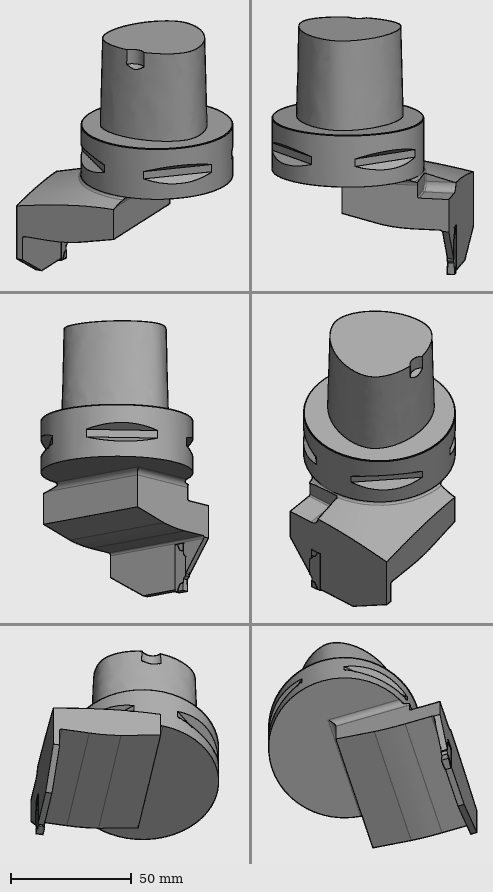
import cadquery as cq
import math


flange_radius = 31.5
flange_height = 22.1
flange_chamfer = 0.3

total_length = 103

shank_height = 38.0
shank_radius = 22.1
lobe_size = 1.39
taper_ratio = 20
outline_points = 48

notch_radius = 5.2
notch_center_y = -22.9
notch_depth = 6.3
notch_tip_height = 3.6

slot_count = 4
slot_first_angle = 45
slot_center_z = -11.7
slot_floor_distance = 27.8
slot_floor_height = 3.2
slot_mouth_height = 7.9

head_left = -45.0
head_right = 0.2
head_front = -40.0
head_back = 11.4
root_radius = 2.6
cone_angle = 15
cone_start_radius = 32.4
cone_start_z = -23.2
roof_blend_inset = 0.6
roof_blend_mid_z = -22.9
roof_margin = 1
head_bottom_z = -43.5
head_bottom_bend_left = -29.9
head_bottom_bend_right = -16.5
head_bottom_bend_z = -42.2
head_right_bottom_z = -38.3
blade_thickness = 2.7
blade_corner_radius = 1.0
blade_bottom_z = -64.1
blade_shoulder_z = -44.0
blade_front_z = -53.8
blade_bottom_front = -22.1
blade_slope_end_y = 0.0
blade_slope_end_z = -59.5

step_wall_x = -31.8
step_front = -3.4
step_floor_z = -30.2
step_side_radius = 3.7
step_wall_radius = 0.6

insert_top_z = -44.9
insert_bottom_z = shank_height - total_length
insert_back = 0.0
insert_front = -4.5
insert_waist_back = 1.1
insert_waist_top_z = -50.7
insert_waist_bottom_z = -58.9
insert_waist_chamfer = 1.1
insert_width = 3.0
insert_body_relief = 0.2
edge_length = 3.3
edge_depth = 3.1
edge_tip_depth = 1.6
edge_arc_depth = 2.3
edge_arc_length = 2.0
edge_shoulder_length = 3.0


def lobed_outline(radius):
    """Points of a constant-width curve with support radius + lobe_size * cos(3 * turn)."""
    points = []
    for index in range(outline_points):
        turn = 2 * math.pi * index / outline_points
        support = radius + lobe_size * math.cos(3 * turn)
        slope = -3 * lobe_size * math.sin(3 * turn)
        along = support * math.cos(turn) - slope * math.sin(turn)
        across = support * math.sin(turn) + slope * math.cos(turn)
        points.append((-across, along))
    return points


def make_shank():
    tip_radius = shank_radius - shank_height / taper_ratio / 2
    shank = (
        cq.Workplane("XY")
        .spline(lobed_outline(shank_radius), periodic=True).close()
        .workplane(offset=shank_height)
        .spline(lobed_outline(tip_radius), periodic=True).close()
        .loft(combine=True)
    )
    notch_floor_z = shank_height - notch_depth
    notch = (
        cq.Workplane("XZ")
        .moveTo(0, notch_floor_z - notch_tip_height)
        .lineTo(notch_radius, notch_floor_z)
        .lineTo(notch_radius, shank_height)
        .lineTo(0, shank_height)
        .close()
        .revolve(360, (0, 0), (0, 1))
        .translate((0, notch_center_y, 0))
    )
    return shank.cut(notch)


def make_flange():
    flange = (
        cq.Workplane("XY").circle(flange_radius).extrude(-flange_height)
        .faces(">Z").edges().chamfer(flange_chamfer)
    )
    floor_half = slot_floor_height / 2
    mouth_half = slot_mouth_height / 2
    slot = (
        cq.Workplane("XZ")
        .moveTo(slot_floor_distance, slot_center_z - floor_half)
        .lineTo(flange_radius, slot_center_z - mouth_half)
        .lineTo(flange_radius, slot_center_z + mouth_half)
        .lineTo(slot_floor_distance, slot_center_z + floor_half)
        .close()
        .extrude(flange_radius, both=True)
    )
    for index in range(slot_count):
        angle = slot_first_angle + index * 360 / slot_count
        flange = flange.cut(slot.rotate((0, 0, 0), (0, 0, 1), angle))
    return flange


def side_profile():
    """Head seen along Y: blade, curved underside and the blend at the right."""
    blade_right = head_left + blade_thickness
    return (
        cq.Workplane("XZ")
        .moveTo(head_left, -flange_height)
        .lineTo(head_left, blade_bottom_z)
        .lineTo(blade_right, blade_bottom_z)
        .lineTo(blade_right, head_bottom_z - blade_corner_radius)
        .radiusArc((blade_right + blade_corner_radius, head_bottom_z), blade_corner_radius)
        .lineTo(head_bottom_bend_left, head_bottom_z)
        .tangentArcPoint((head_bottom_bend_right, head_bottom_bend_z), relative=False)
        .lineTo(head_right, head_right_bottom_z)
        .lineTo(head_right, -flange_height - root_radius)
        .radiusArc((head_right + root_radius, -flange_height), root_radius)
        .close()
        .extrude(2 * flange_radius, both=True)
    )


def end_profile():
    """Head seen along X: blade outline and the blend at the back."""
    return (
        cq.Workplane("YZ")
        .moveTo(head_front, -flange_height)
        .lineTo(head_front, blade_front_z)
        .lineTo(blade_bottom_front, blade_bottom_z)
        .lineTo(blade_slope_end_y, blade_bottom_z)
        .lineTo(blade_slope_end_y, blade_slope_end_z)
        .lineTo(head_back, blade_shoulder_z)
        .lineTo(head_back, -flange_height - root_radius)
        .radiusArc((head_back + root_radius, -flange_height), root_radius)
        .close()
        .extrude(2 * flange_radius, both=True)
    )


def roof_envelope():
    """Solid of revolution whose conical top is the roof of the head."""
    outer_radius = math.hypot(head_left, head_front) + roof_margin
    drop = (outer_radius - cone_start_radius) * math.tan(math.radians(cone_angle))
    return (
        cq.Workplane("XZ")
        .moveTo(0, -flange_height)
        .lineTo(flange_radius, -flange_height)
        .threePointArc(
            (cone_start_radius - roof_blend_inset, roof_blend_mid_z),
            (cone_start_radius, cone_start_z),
        )
        .lineTo(outer_radius, cone_start_z - drop)
        .lineTo(outer_radius, blade_bottom_z)
        .lineTo(0, blade_bottom_z)
        .close()
        .revolve(360, (0, 0), (0, 1))
    )


def corner_step():
    step_length = step_wall_x - head_left
    step_width = head_back + 2 * root_radius - step_front
    step_height = -flange_height - step_floor_z
    return (
        cq.Workplane("XY")
        .box(step_length, step_width, step_height, centered=False)
        .translate((head_left, step_front, step_floor_z))
        .edges("|X and <Y and <Z").fillet(step_side_radius)
        .edges("|Y and >X and <Z").fillet(step_wall_radius)
    )


def insert_outline():
    return (
        cq.Workplane("YZ", origin=(head_left, 0, 0))
        .moveTo(insert_front, insert_top_z)
        .lineTo(insert_back, insert_top_z)
        .lineTo(insert_back, insert_waist_top_z + insert_waist_chamfer)
        .lineTo(insert_waist_back, insert_waist_top_z)
        .lineTo(insert_waist_back, insert_waist_bottom_z)
        .lineTo(insert_back, insert_waist_bottom_z - insert_waist_chamfer)
        .lineTo(insert_back, insert_bottom_z)
        .lineTo(insert_front, insert_bottom_z)
        .close()
    )


def cutting_edge(end_z, inward):
    """Full-width cutting edge at one end; inward is +1 or -1 along Z."""
    return (
        cq.Workplane("YZ", origin=(head_left, 0, 0))
        .moveTo(insert_back, end_z)
        .lineTo(insert_back - edge_depth, end_z)
        .threePointArc(
            (insert_back - edge_arc_depth, end_z + inward * edge_arc_length),
            (insert_back - edge_tip_depth, end_z + inward * edge_shoulder_length),
        )
        .lineTo(insert_back, end_z + inward * edge_length)
        .close()
        .extrude(insert_width)
    )


def make_insert():
    body_width = insert_width - 2 * insert_body_relief
    body = insert_outline().extrude(body_width).translate((insert_body_relief, 0, 0))
    top_edge = cutting_edge(insert_top_z, -1)
    bottom_edge = cutting_edge(insert_bottom_z, 1)
    return body.union(top_edge).union(bottom_edge)


def make_holder():
    head = side_profile().intersect(end_profile()).intersect(roof_envelope())
    insert_pocket = insert_outline().extrude(insert_width)
    head = head.cut(corner_step()).cut(insert_pocket)
    return make_flange().union(make_shank()).union(head)


holder = make_holder()
insert = make_insert()

result = cq.Compound.makeCompound([holder.solids().val(), insert.solids().val()])